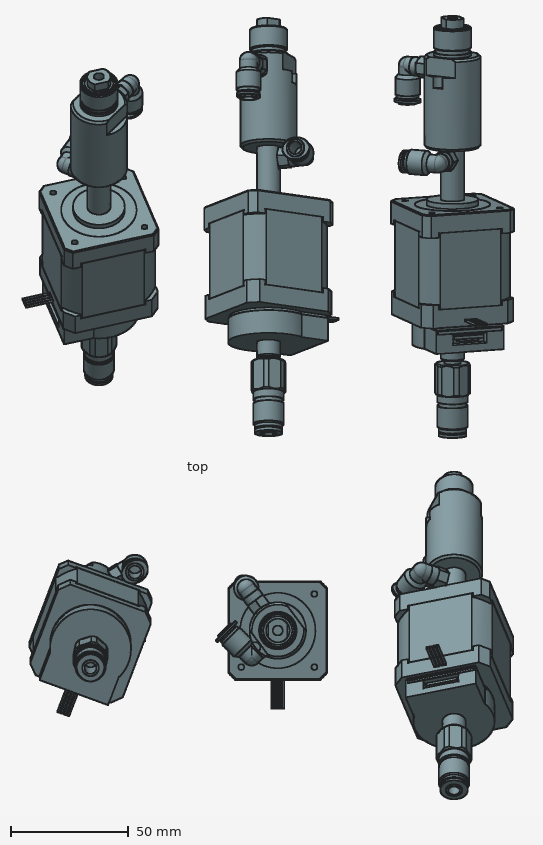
import cadquery as cq
import math



def rod(diameter, z_low, z_high):
    """Round bar on the Z axis between two heights."""
    return cq.Workplane("XY").workplane(offset=z_low).circle(diameter / 2).extrude(z_high - z_low)


def block(width, depth, z_low, z_high, x=0, y=0):
    """Box between two heights, centred on (x, y)."""
    height = z_high - z_low
    return cq.Workplane("XY").box(width, depth, height, centered=(True, True, False)).translate((x, y, z_low))


def hexagon(across_flats, z_low, z_high):
    """Hexagonal bar on the Z axis with two corners on the local X axis."""
    across_corners = across_flats / math.cos(math.pi / 6)
    return cq.Workplane("XY").workplane(offset=z_low).polygon(6, across_corners).extrude(z_high - z_low)


shaft_d = 10
shaft_bore_d = 4.2
shaft_top = 80.3
shaft_bottom = -67.0
tip_across_flats = 8
tip_flat_bottom = 76.0
shaft_chamfer = 0.6

flange_size = 42
flange_thick = 10
motor_bottom = -49
rear_thick = 10

joint_d = 24
joint_top = 64.4
joint_bottom = 24.7
joint_chamfer = 1.0
joint_angle = 216.6
joint_across_flats = 19
joint_flat_bottom = 56.5
pin_groove_d = 4.5
pin_groove_bottom = 51.7
pin_groove_radius = 12

elbow_stem_length = 11
upper_elbow_height = 57.7
upper_elbow_radius = 22.4
upper_elbow_angle = joint_angle - 90
lower_elbow_height = 20.0
lower_elbow_radius = 15.74
lower_elbow_angle = 225
seat_d = 10


def elbow(rotation_about_stem, angle, radius, height):
    """Push-in elbow: stem pointing at the Z axis, tube port square to the stem."""
    pipe_d = 7.6
    ring_d = 8
    hex_flats = 8
    ring_start, hex_start = 3.1, 6.4
    body_d = 10.5
    cone_start, body_start, body_end = 3.6, 5.2, 12.4
    lip_d, lip_end = 9.5, 13.7
    release_long, release_short = 11.8, 9.5
    release_start, release_end = 14.6, 15.6
    port_end = 16.4
    port_bore_d, port_depth = 5.6, 11

    stem = rod(pipe_d, 0, ring_start)
    stem = stem.union(rod(ring_d, ring_start, hex_start))
    stem = stem.union(hexagon(hex_flats, hex_start, elbow_stem_length))
    stem = stem.rotate((0, 0, 0), (0, 1, 0), -90)

    port = (
        cq.Workplane("XZ")
        .lineTo(pipe_d / 2, 0)
        .lineTo(pipe_d / 2, -cone_start)
        .lineTo(body_d / 2, -body_start)
        .lineTo(body_d / 2, -body_end)
        .lineTo(lip_d / 2, -body_end)
        .lineTo(lip_d / 2, -lip_end)
        .lineTo(pipe_d / 2, -lip_end)
        .lineTo(pipe_d / 2, -port_end)
        .lineTo(0, -port_end)
        .close()
        .revolve(360, (0, 0, 0), (0, 1, 0))
    )
    release_ring = (
        cq.Workplane("XY")
        .workplane(offset=-release_end)
        .ellipse(release_long / 2, release_short / 2)
        .extrude(release_end - release_start)
    )
    bend = cq.Workplane("XY").sphere(pipe_d / 2)

    body = stem.union(port).union(release_ring).union(bend)
    body = body.cut(rod(port_bore_d, -port_end, port_depth - port_end))
    body = body.rotate((0, 0, 0), (1, 0, 0), rotation_about_stem).translate((radius, 0, height))
    return body.rotate((0, 0, 0), (0, 0, 1), angle)


def elbow_seat(angle, radius, height):
    """Round spot face in which the end of an elbow's stem sits."""
    seat = cq.Workplane("YZ").workplane(offset=radius - elbow_stem_length)
    seat = seat.center(0, height).circle(seat_d / 2).extrude(elbow_stem_length)
    return seat.rotate((0, 0, 0), (0, 0, 1), angle)


upper_place = (upper_elbow_angle, upper_elbow_radius, upper_elbow_height)
lower_place = (lower_elbow_angle, lower_elbow_radius, lower_elbow_height)
upper_elbow = elbow(0, *upper_place)
lower_elbow = elbow(-90, *lower_place)


def make_shaft():
    shaft = rod(shaft_d, shaft_bottom, shaft_top).faces("<Z").chamfer(shaft_chamfer)
    flats = block(tip_across_flats, shaft_d, tip_flat_bottom, shaft_top)
    shaft = shaft.cut(rod(shaft_d, tip_flat_bottom, shaft_top).cut(flats))
    shaft = shaft.cut(rod(shaft_bore_d, shaft_bottom, shaft_top))
    return shaft.cut(elbow_seat(*lower_place))


shaft = make_shaft()
shaft_hole = rod(shaft_d, shaft_bottom, shaft_top)


def make_joint():
    joint = rod(joint_d, joint_bottom, joint_top).faces("<Z or >Z").chamfer(joint_chamfer)

    flat_depth = (joint_d - joint_across_flats) / 2
    flat_offset = (joint_across_flats + flat_depth) / 2
    cuts = cq.Workplane("XY")
    for side in (1, -1):
        cuts = cuts.union(block(flat_depth, joint_d, joint_flat_bottom, joint_top, x=side * flat_offset))
    groove = rod(pin_groove_d, pin_groove_bottom, joint_top).translate((pin_groove_radius, 0, 0))
    groove = groove.intersect(block(joint_d, joint_d, pin_groove_bottom, joint_flat_bottom))
    cuts = cuts.union(groove)

    joint = joint.cut(cuts.rotate((0, 0, 0), (0, 0, 1), joint_angle))
    return joint.cut(shaft_hole).cut(elbow_seat(*upper_place))


joint = make_joint()


def make_collar():
    collar_d = 16
    collar_top = 76.4
    collar_bottom = 67.2
    collar_chamfer = 0.5
    neck_d = 14.5
    foot_top = 65.6
    recess_outer_d, recess_inner_d = 13.8, 12.2
    recess_depth = 0.5

    collar = rod(collar_d, collar_bottom, collar_top).faces("<Z or >Z").chamfer(collar_chamfer)
    collar = collar.union(rod(neck_d, foot_top, collar_bottom))
    collar = collar.union(rod(collar_d, joint_top, foot_top))
    recess = rod(recess_outer_d, collar_top - recess_depth, collar_top)
    recess = recess.cut(rod(recess_inner_d, collar_top - recess_depth, collar_top))
    return collar.cut(recess).cut(shaft_hole)


collar = make_collar()


def make_motor():
    front_corner, rear_corner = 3, 4
    front_edge = 0.5
    pilot_d, pilot_height = 22, 2.1
    face_ring_d, face_ring_depth = 32, 0.1
    screw_pitch, screw_d, screw_depth = 31, 2.5, 4.5
    stack_size, stack_d = 41.7, 50
    notch_width, notch_height, notch_depth = 28.8, 2, 1
    wire_count, wire_d, wire_pitch = 4, 1, 1.5
    wire_root = 1
    wire_end, wire_height = -33.12, -46.4

    rear_top = motor_bottom + rear_thick
    front = block(flange_size, flange_size, -flange_thick, 0).edges("|Z").chamfer(front_corner)
    front = front.faces(">Z").edges().chamfer(front_edge)
    rear = block(flange_size, flange_size, motor_bottom, rear_top).edges("|Z").chamfer(rear_corner)

    stack_low, stack_high = rear_top - notch_height, -flange_thick + notch_height
    stack = block(stack_size, stack_size, stack_low, stack_high)
    stack = stack.intersect(rod(stack_d, stack_low, stack_high))
    notch_offset = (flange_size - notch_depth) / 2
    notch = block(notch_width, notch_depth, stack_low, stack_high, y=notch_offset)
    covers = front.union(rear)
    for quarter in range(4):
        covers = covers.cut(notch.rotate((0, 0, 0), (0, 0, 1), 90 * quarter))
    motor = covers.union(stack)

    face_recess = rod(face_ring_d, -face_ring_depth, 0)
    motor = motor.cut(face_recess).union(rod(pilot_d, -face_ring_depth, pilot_height))
    screws = (
        cq.Workplane("XY")
        .rect(screw_pitch, screw_pitch, forConstruction=True)
        .vertices()
        .circle(screw_d / 2)
        .extrude(-screw_depth)
    )
    motor = motor.cut(screws)

    wire_length = wire_root - flange_size / 2 - wire_end
    for number in range(wire_count):
        x = (number - (wire_count - 1) / 2) * wire_pitch
        wire = cq.Workplane("XZ", origin=(x, wire_end + wire_length, wire_height))
        motor = motor.union(wire.circle(wire_d / 2).extrude(wire_length))
    return motor.cut(shaft_hole)


motor = make_motor()


def make_encoder():
    bottom = -60.2
    round_d = 34.4
    box_half_width = 15.5
    front_y = -20.2
    box_back_y = -7
    seam_height, seam_inset = 1.2, 0.5
    groove_width, groove_high, groove_low, groove_depth = 29.2, -50.6, -52.0, 0.3
    socket_width, socket_high, socket_low, socket_depth = 15.5, -52.4, -56.9, 4
    tongue_width, tongue_high, tongue_low, tongue_depth = 13.5, -53.4, -54.8, 3
    key_width, key_low, key_depth = 9.4, -55.8, 2

    def outline(inset, z_low, z_high):
        """Round housing with a square nose on the -Y side."""
        nose_depth = box_back_y - front_y - inset
        nose = block(2 * (box_half_width - inset), nose_depth, z_low, z_high, y=box_back_y - nose_depth / 2)
        disc = rod(round_d - 2 * inset, z_low, z_high)
        behind_nose = block(round_d, round_d, z_low, z_high, y=box_back_y + round_d / 2)
        return disc.intersect(behind_nose).union(nose)

    def front_pocket(width, depth, z_low, z_high):
        return block(width, depth, z_low, z_high, y=front_y + depth / 2)

    seam = motor_bottom - seam_height
    encoder = outline(0, bottom, seam).union(outline(seam_inset, seam, motor_bottom))
    encoder = encoder.cut(front_pocket(groove_width, groove_depth, groove_low, groove_high))
    encoder = encoder.cut(front_pocket(socket_width, socket_depth, socket_low, socket_high))
    tongue_y = front_y + socket_depth - tongue_depth / 2
    key_y = front_y + socket_depth - key_depth / 2
    encoder = encoder.union(block(tongue_width, tongue_depth, tongue_low, tongue_high, y=tongue_y))
    encoder = encoder.union(block(key_width, key_depth, key_low, tongue_low, y=key_y))
    return encoder.cut(shaft_hole)


encoder = make_encoder()


def make_bottom_fitting():
    neck_d = 7
    hex_top, hex_bottom = -68.5, -82.0
    hex_flats, hex_round_d, hex_angle = 14, 15, 21.4
    hex_chamfer = 0.7
    body_d = 13
    groove_d, groove_top, groove_bottom = 11.8, -85.2, -86.9
    body_end = -96.4
    body_chamfer = 0.6
    lip_d, lip_end = 11.8, -97.8
    release_d, release_top, release_bottom = 11.8, -98.5, -99.8
    core_d, core_end = 7, -100.2
    port_bore_d, port_depth = 5, 14

    fitting = rod(neck_d, hex_top, shaft_bottom)
    rounding = rod(hex_round_d, hex_bottom, hex_top).faces("<Z or >Z").chamfer(hex_chamfer)
    nut = hexagon(hex_flats, hex_bottom, hex_top).rotate((0, 0, 0), (0, 0, 1), hex_angle)
    fitting = fitting.union(nut.intersect(rounding))
    fitting = fitting.union(rod(body_d, groove_top, hex_bottom))
    fitting = fitting.union(rod(groove_d, groove_bottom, groove_top))
    fitting = fitting.union(rod(body_d, body_end, groove_bottom).faces("<Z").chamfer(body_chamfer))
    fitting = fitting.union(rod(lip_d, lip_end, body_end))
    fitting = fitting.union(rod(core_d, core_end, lip_end))
    fitting = fitting.union(rod(release_d, release_bottom, release_top))
    return fitting.cut(rod(port_bore_d, core_end, core_end + port_depth))


bottom_fitting = make_bottom_fitting()

bodies = [shaft, joint, collar, motor, encoder, upper_elbow, lower_elbow, bottom_fitting]
result = cq.Compound.makeCompound([body.solids().val() for body in bodies])